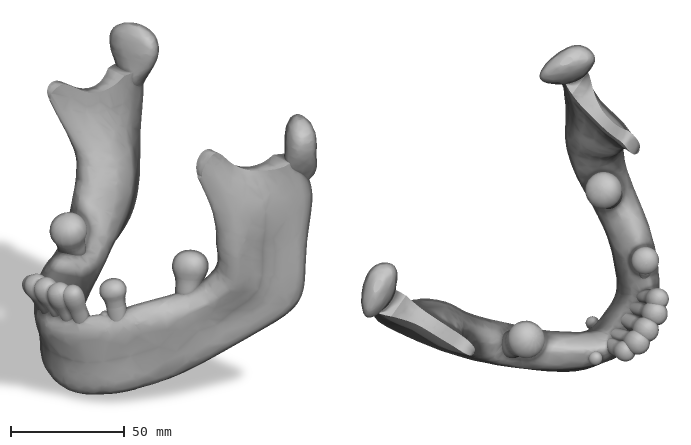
import cadquery as cq

loft = cq.occ_impl.shapes.loft

LENGTH_X = 154.27
LENGTH_Z = 131.34

RIGHT_END = LENGTH_X / 2
TOP_END = LENGTH_Z / 2
CHIN_LEVEL = -LENGTH_Z / 2
CHIN_LIFT = 0.06

LEFT_SECTIONS = [
    ((-65.5, 53, 54), (-61, -3, 52), (9, 5, 5), 0),
    ((-66, 53.5, 36), (-61, 2, 37), (10, 8, 7), 1.5),
    ((-66, 52, 14), (-55, 10, 18), (8, 12, 12), 2.5),
    ((-65, 50.5, -6), (-50, 10, 6), (8, 14, 16), 4),
    ((-62, 43, -24), (-47, 5.5, -4), (7, 15, 16), 3),
    ((-56, 24, -35), (-42.5, 0, -13), (8, 16, 15), 2.5),
    ((-47, 6, -46), (-38, -8, -18), (9, 17, 15), 2),
    ((-37, -9, -54.5), (-32, -20, -18.5), (10, 16, 14), 1.5),
    ((-24, -24, -62), (-23, -33, -22), (13, 16, 12), 1.5),
    ((-12, -31, -64.5), (-12, -43, -27), (14, 14, 10), 1),
]
CHIN_SECTION = ((2, -33, CHIN_LEVEL + CHIN_LIFT), (1, -46, -26.5), (15, 14, 11), 2)
RIGHT_SECTIONS = [
    ((14, -31, -64), (14, -43, -25), (14, 14, 10), 1),
    ((25, -24, -61), (24, -33, -22), (13, 16, 12), 1.5),
    ((36.5, -10, -55), (32, -22, -18), (10, 16, 14), 1.5),
    ((47, 4, -46), (40, -7, -14), (9, 17, 15), 2),
    ((57, 22, -35), (46, 2, -8), (8, 17, 17), 3.5),
    ((65.5, 37, -23), (51, 4, 0), (8, 17, 17), 4),
    ((68, 40, -6), (53, 2, 10), (8, 14, 16), 4),
    ((68, 42, 14), (55, 0, 20), (8, 12, 12), 2.5),
    ((67.5, 42.5, 36), (54.5, -6, 38), (10, 8, 7), 2),
    ((66.5, 42, 56), (55, -6, 59), (9, 5, 5), 0),
]
BORDER_SHOULDER = 0.12
LOFT_DEGREE = 3
SECTION_KNOTS = [0, 0.085, 0.25, 0.415, 0.5, 0.585, 0.75, 0.915, 1]

LEFT_NOTCH = [(38, 46), (31.6, 42.5), (20, 42.5), (11, 47), (3, 49.8), (-0.5, 47.5), (-0.8, 44)]
RIGHT_NOTCH = [(30, 47.5), (26, 45), (19.7, 44), (6.3, 50), (-2.5, 56.2), (-6.8, 52), (-8, 46)]
NOTCH_CEILING = 80
NOTCH_WIDTH = 60
NOTCH_FRONT_RUN = 10
NOTCH_FRONT_DROP = 20

LEFT_CONDYLE = (-64.58, 48.8, 14)
RIGHT_CONDYLE = (65.4, 38.8, -28)
CONDYLE_RINGS = [
    (36, 3.5, 3.5),
    (43, 7, 7.2),
    (50, 11.5, 6.8),
    (56, 12.9, 6.7),
    (61, 11.4, 5.8),
    (64.4, 7, 3.6),
    (TOP_END, 3, 1.5),
]

TEETH = [
    ((-40, -5, -22), (-36, -10.5, -9), 6.2, 8.2, 8.5),
    ((40, -4, -22), (38, -1, -5), 6, 8, 8.3),
    ((25.5, -31, -26), (24, -33, -12.5), 4.4, 6, 6),
    ((-13, -40.5, -31), (-13.5, -48, -18.5), 3.6, 4.4, 6),
    ((-8, -41, -32), (-7.5, -50, -17), 4, 5.3, 7.5),
    ((0.5, -41, -32), (-0.5, -50, -16.5), 4, 5.3, 7.5),
    ((7, -41, -32), (7.5, -49.1, -16.5), 4, 5.3, 7.5),
    ((13, -40, -31), (13.4, -46.5, -16), 3.8, 4.7, 7),
]

KNOBS = [
    ((-22.5, -39, -25), 3),
    ((21, -35, -24.5), 2.6),
    ((-5.6, -25.5, -58), 3),
]


def closed_spline(points, knots=None):
    """Smooth closed wire through the points."""
    return cq.Wire.assembleEdges([cq.Edge.makeSpline(points, periodic=True, parameters=knots)])


def bone_section(border, crest, widths, lean, travel):
    """Closed section spanning border to crest, thickened square to the direction of travel."""
    start = cq.Vector(*border)
    span = cq.Vector(*crest) - start
    across = travel.cross(span).normalized()
    low, middle, high = [across * (width / 2) for width in widths]
    near = start + span * BORDER_SHOULDER
    centre = start + span * 0.5 - across * lean
    far = start + span * (1 - BORDER_SHOULDER)
    outline = [start, near + low, centre + middle, far + high,
               start + span, far - high, centre - middle, near - low]
    return closed_spline(outline, SECTION_KNOTS)


def bone_arch():
    """The horseshoe of bone with both rami, lofted through all the sections."""
    sections = LEFT_SECTIONS + [CHIN_SECTION] + RIGHT_SECTIONS
    centres = [(cq.Vector(*p) + cq.Vector(*q)) * 0.5 for p, q, _, _ in sections]
    last = len(sections) - 1
    wires = []
    for i, (border, crest, widths, lean) in enumerate(sections):
        travel = centres[min(i + 1, last)] - centres[max(i - 1, 0)]
        wires.append(bone_section(border, crest, widths, lean, travel))
    return loft(wires, cap=True, degree=LOFT_DEGREE, continuity="C1")


def notch_cutter(edge, side):
    """Everything above the upper edge of the ramus on one side (-1 left, 1 right)."""
    rear, front = edge[0], edge[-1]
    return (
        cq.Workplane("YZ")
        .moveTo(*rear)
        .spline(edge[1:], includeCurrent=True)
        .lineTo(front[0] - NOTCH_FRONT_RUN, front[1] - NOTCH_FRONT_DROP)
        .lineTo(front[0] - NOTCH_FRONT_RUN, NOTCH_CEILING)
        .lineTo(NOTCH_CEILING, NOTCH_CEILING)
        .lineTo(NOTCH_CEILING, rear[1])
        .close()
        .extrude(NOTCH_WIDTH)
        .translate((RIGHT_END * side - NOTCH_WIDTH / 2, 0, 0))
        .val()
    )


def ball(centre, radius):
    """Small round knob, with its poles along X."""
    sphere = cq.Solid.makeSphere(radius, angleDegrees1=-90)
    return sphere.rotate(cq.Vector(), cq.Vector(0, 1, 0), 90).translate(cq.Vector(*centre))


def condyle(x, y, turn):
    """Rounded hinge head on a neck that flares up to it."""
    rings = []
    for level, half_length, half_width in CONDYLE_RINGS:
        corners = [(half_length, 0), (0, half_width), (-half_length, 0), (0, -half_width)]
        outline = [cq.Vector(*corner) for corner in corners]
        ring = closed_spline(outline).rotate(cq.Vector(), cq.Vector(0, 0, 1), turn)
        rings.append(ring.translate(cq.Vector(x, y, level)))
    return loft(rings, cap=True, degree=LOFT_DEGREE)


def tooth(root, crown, root_radius, crown_radius, crown_half):
    """Round tooth turned about its axis: a straight root that swells into an oval crown."""
    foot = cq.Vector(*root)
    axis = cq.Vector(*crown) - foot
    length = axis.Length
    profile = (
        cq.Workplane("XZ")
        .lineTo(root_radius, 0)
        .lineTo(root_radius, length - crown_half)
        .spline([(crown_radius, length), (0, length + crown_half)],
                tangents=[(0, 1), (-1, 0)], includeCurrent=True)
        .close()
    )
    solid = profile.revolve(360, (0, 0, 0), (0, 1, 0)).val()
    return solid.moved(cq.Location(cq.Plane(foot, normal=axis)))


bone = bone_arch().cut(notch_cutter(LEFT_NOTCH, -1)).cut(notch_cutter(RIGHT_NOTCH, 1))
additions = [condyle(*LEFT_CONDYLE), condyle(*RIGHT_CONDYLE)]
additions += [tooth(*values) for values in TEETH]
additions += [ball(*values) for values in KNOBS]
for addition in additions:
    bone = bone.fuse(addition)
result = cq.Workplane(obj=bone.Solids()[0])